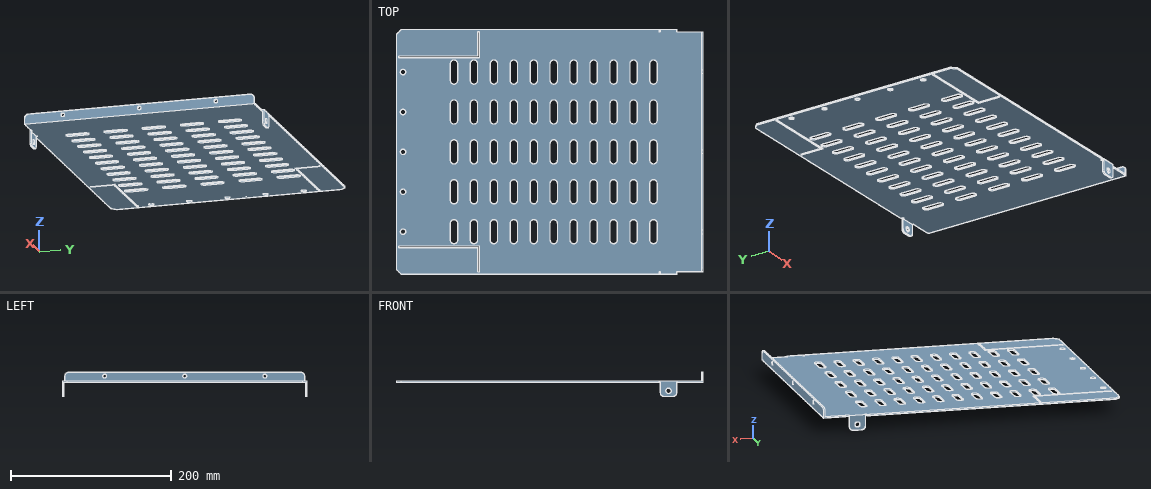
import cadquery as cq

LENGTH = 383.5
WIDTH = 306.0
THICKNESS = 2.0
FLANGE_HEIGHT = 13.0
TAB_DROP = 17.5
CORNER_CHAMFER = 6.0

SIDE_MARGIN = 3.0
FLANGE_WIDTH = WIDTH - 2 * SIDE_MARGIN
FLANGE_CORNER_RADIUS = 5.0
FLANGE_HOLE_DIAMETER = 4.5
FLANGE_HOLE_PITCH = 100.0
FLANGE_HOLE_COUNT = 3
FLANGE_HOLE_HEIGHT = 8.0

TAB_END_X = 350.5
TAB_LENGTH = 20.7
TAB_START_X = TAB_END_X - TAB_LENGTH
TAB_CORNER_RADIUS = 5.0
TAB_HOLE_DIAMETER = 6.5
TAB_HOLE_DEPTH = 10.5
RELIEF_WIDTH = 1.5

SLOT_COLUMNS = 11
SLOT_ROWS = 5
SLOT_LENGTH = 30.0
SLOT_WIDTH = 9.0
SLOT_PITCH_X = 25.0
SLOT_PITCH_Y = 50.0
FIRST_SLOT_X = 72.0

FRONT_HOLE_X = 8.5
FRONT_HOLE_DIAMETER = 6.5

SLIT_WIDTH = 2.0
SLIT_WEB = 3.0
PANEL_LENGTH = 104.0
PANEL_INNER_Y = 117.7


def block(x_start, x_end, y_start, y_end, z_start, z_end):
    """Axis-aligned box between two opposite corners."""
    size = (x_end - x_start, y_end - y_start, z_end - z_start)
    return cq.Workplane("XY").box(*size, centered=False).translate((x_start, y_start, z_start))


def plate():
    """Flat sheet with chamfered front corners and a narrower rear end."""
    half_width = WIDTH / 2
    wide = block(0, TAB_END_X, -half_width, half_width, 0, THICKNESS)
    wide = wide.edges("|Z and <X").chamfer(CORNER_CHAMFER)
    rear = block(TAB_END_X, LENGTH, -FLANGE_WIDTH / 2, FLANGE_WIDTH / 2, 0, THICKNESS)
    return wide.union(rear)


def rear_flange():
    """Upturned rear edge with rounded top corners and a row of holes."""
    half_width = FLANGE_WIDTH / 2
    flange = block(LENGTH - THICKNESS, LENGTH, -half_width, half_width, 0, FLANGE_HEIGHT)
    flange = flange.edges("|X and >Z").fillet(FLANGE_CORNER_RADIUS)
    holes = (
        cq.Workplane("YZ", origin=(LENGTH - THICKNESS, 0, FLANGE_HOLE_HEIGHT))
        .rarray(FLANGE_HOLE_PITCH, 4, FLANGE_HOLE_COUNT, 1)
        .circle(FLANGE_HOLE_DIAMETER / 2)
        .extrude(THICKNESS)
    )
    return flange.cut(holes)


def side_tab():
    """Tab hanging from the -Y edge, with rounded lower corners and one hole."""
    outer_y = -WIDTH / 2
    tab = block(TAB_START_X, TAB_END_X, outer_y, outer_y + THICKNESS, -TAB_DROP, THICKNESS)
    tab = tab.edges("|Y and <Z").fillet(TAB_CORNER_RADIUS)
    hole_x = (TAB_START_X + TAB_END_X) / 2
    hole = (
        cq.Workplane("XZ", origin=(hole_x, outer_y + THICKNESS, -TAB_HOLE_DEPTH))
        .circle(TAB_HOLE_DIAMETER / 2)
        .extrude(THICKNESS)
    )
    return tab.cut(hole)


def tab_relief():
    """Narrow notch that separates the -Y tab from the side margin in front of it."""
    edge_y = -WIDTH / 2
    return block(TAB_START_X - RELIEF_WIDTH, TAB_START_X, edge_y, edge_y + SIDE_MARGIN, 0, THICKNESS)


def panel_slit():
    """L-shaped slit around the front corner panel on the -Y side."""
    slit_x = PANEL_LENGTH - SLIT_WIDTH
    slit_y = -PANEL_INNER_Y - SLIT_WIDTH
    lengthwise = block(SLIT_WEB, PANEL_LENGTH, slit_y, -PANEL_INNER_Y, 0, THICKNESS)
    crosswise = block(slit_x, PANEL_LENGTH, -WIDTH / 2 + SLIT_WEB, -PANEL_INNER_Y, 0, THICKNESS)
    return lengthwise.union(crosswise)


def slot_grid():
    """Rows and columns of round-ended slots that run across the plate."""
    center_x = FIRST_SLOT_X + SLOT_PITCH_X * (SLOT_COLUMNS - 1) / 2
    return (
        cq.Workplane("XY", origin=(center_x, 0, 0))
        .rarray(SLOT_PITCH_X, SLOT_PITCH_Y, SLOT_COLUMNS, SLOT_ROWS)
        .slot2D(SLOT_LENGTH, SLOT_WIDTH, 90)
        .extrude(THICKNESS)
    )


def front_holes():
    """Fixing holes along the front edge."""
    return (
        cq.Workplane("XY", origin=(FRONT_HOLE_X, 0, 0))
        .rarray(4, SLOT_PITCH_Y, 1, SLOT_ROWS)
        .circle(FRONT_HOLE_DIAMETER / 2)
        .extrude(THICKNESS)
    )


def both_sides(shape):
    """Shape together with its mirror image across the lengthwise centre plane."""
    return shape.union(shape.mirror("XZ"))


shelf = plate().union(rear_flange()).union(both_sides(side_tab()))
shelf = shelf.cut(slot_grid()).cut(front_holes())
result = shelf.cut(both_sides(panel_slit())).cut(both_sides(tab_relief()))